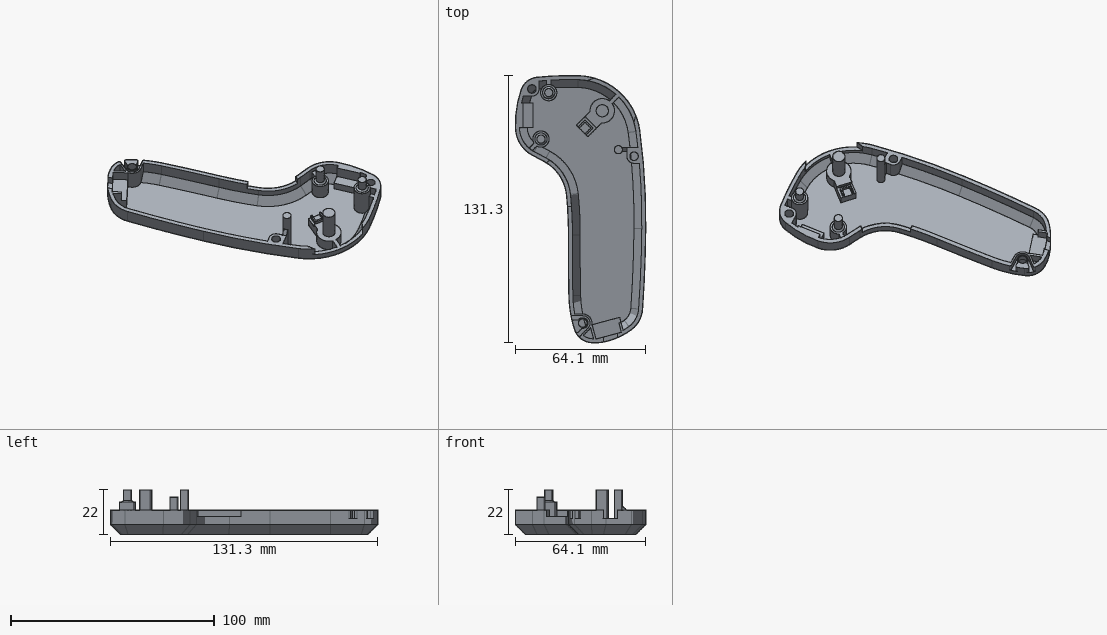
import cadquery as cq
import math

RIM_Z = 12.0
CHAMFER = 5.0
WALL = 2.0
FLOOR_Z = WALL
PIN_TOP_Z = 22.0
SLOPE_TOP_Z = CHAMFER + WALL * (math.sqrt(2) - 1)
REACH = 12.0

OUTLINE_START = (64.09, 56.12)
OUTLINE_START_ANGLE = 89.32
OUTLINE_ARC_ENDS = [
    (61.19, 104.10),
    (30.86, 131.29),
    (10.68, 130.50),
    (2.80, 124.24),
    (0.04, 105.32),
    (8.37, 92.14),
    (14.13, 89.08),
    (25.09, 72.74),
    (26.04, 52.99),
    (26.25, 23.20),
    (29.03, 6.65),
    (37.32, 0.08),
    (44.46, 0.64),
    (56.94, 6.43),
    (62.53, 16.55),
    OUTLINE_START,
]

SCREW_HOLE_D = 4.2
SCREW_BOSS_R = 3.5
TOP_SCREW = (8.15, 124.7)
SIDE_SCREW = (58.3, 91.7)
SIDE_BOSS_TOP_Y = 95.9

PIN_D = 4.0
PIN_BOSS_D = 8.0
COLLAR_D = 6.0
COLLAR_H = 0.7
RIB_T = 2.0
TALL_PIN = (16.4, 122.9)
TALL_PIN_BOSS_Z = 16.0
TALL_PIN_RIB_ANGLE = 90.0
SHORT_PIN = (12.6, 100.1)
SHORT_PIN_BOSS_Z = 10.0
SHORT_PIN_TOP_Z = 18.4
SHORT_PIN_RIB_ANGLE = 225.0
SLIM_PIN = (50.6, 94.9)
GUSSET_Z = 14.0

POST = (42.7, 114.0)
POST_D = 6.0
POST_BASE_D = 12.0
POST_BASE_Z = 8.0
ARM_ANGLE = 225.0
ARM_W = 8.0
ARM_L = 8.0
CLIP_END = 14.0
CLIP_SHELF_Z = 6.5
BRACKET_START = 9.2
BRACKET_W = 5.6
BRACKET_T = 0.8
SWEEP_R = 16.5

GRIP_NOTCH_Z = 9.0
GRIP_NOTCH_CORNERS = [(14.0, 87.0), (18.0, 91.0), (30.0, 85.0), (30.0, 67.1), (20.0, 67.1)]

SIDE_SEAT_Z = 6.0
SIDE_SEAT_X = (3.8, 8.6)
SIDE_SEAT_Y = (105.9, 117.8)
SOCKET_CORNER = (39.6, 1.9)
SOCKET_ANGLE = 15.0
SOCKET_SEAT_Z = 7.0
SOCKET_W = 12.9
SOCKET_D = 7.3
SOCKET_WALL = 1.1
SOCKET_STUB_L = 4.7
SOCKET_POCKET_W = 6.0
SOCKET_POCKET_D = 6.0
SOCKET_NOTCH_X = (43.3, 50.2)
SOCKET_NOTCH_Y = (-1.0, 6.0)
SOCKET_NOTCH_Z = 8.0

CORD_POST = (33.1, 9.75)
CORD_POST_R = 2.6
CORD_GROOVE_R = 3.6
CORD_BOSS_R = 4.5
CORD_SLOT_W = 2.0
CORD_SLOT_Z = 8.0
CORD_SLOT_ANGLES = (180.0, 225.0)
CORD_MOUTH_R = 0.9


def outline(z, inset=0.0):
    """Closed wire at height z, parallel to the outline at a distance inside it."""

    def shifted(point, angle):
        return (point[0] - inset * math.sin(angle), point[1] + inset * math.cos(angle))

    start_angle = math.radians(OUTLINE_START_ANGLE)
    start = shifted(OUTLINE_START, start_angle)
    wire = cq.Workplane("XY").workplane(offset=z).moveTo(*start)
    x, y = OUTLINE_START
    angle = start_angle
    for end in OUTLINE_ARC_ENDS:
        dx = end[0] - x
        dy = end[1] - y
        chord_angle = math.atan2(dy, dx)
        half_turn = math.remainder(chord_angle - angle, math.tau)
        rise = math.tan(half_turn / 2) / 2
        middle = ((x + end[0]) / 2 + dy * rise, (y + end[1]) / 2 - dx * rise)
        angle += 2 * half_turn
        arc_end = start if end == OUTLINE_START else shifted(end, angle)
        wire = wire.threePointArc(shifted(middle, chord_angle), arc_end)
        x, y = end
    return wire.wire()


def tub(top_z, edge_z, bottom_z, inset):
    """Solid with an upright side above edge_z and a 45 degree slope below it."""
    upper = outline(edge_z, inset).extrude(top_z - edge_z)
    depth = edge_z - bottom_z
    edge = outline(edge_z, inset).val()
    foot = outline(bottom_z, inset + depth).val()
    slope = cq.Solid.makeLoft([edge, foot], True)
    return upper.union(cq.Workplane(slope))


def box(x_range, y_range, z_range):
    size = [high - low for low, high in (x_range, y_range, z_range)]
    corner = (x_range[0], y_range[0], z_range[0])
    return cq.Workplane("XY").box(*size, centered=False).translate(corner)


def turned_box(origin, angle, along, across, z_range):
    """Box whose length runs at an angle from an origin in plan."""
    straight = box(along, across, z_range)
    return straight.rotate((0, 0, 0), (0, 0, 1), angle).translate((*origin, 0))


def centered(width):
    return (-width / 2, width / 2)


def cylinder(center, radius, z_range):
    base = cq.Workplane("XY").workplane(offset=z_range[0]).center(*center)
    return base.circle(radius).extrude(z_range[1] - z_range[0])


def rib(center, angle, top_z):
    """Rib from a center out to the wall."""
    return turned_box(center, angle, (0, REACH), centered(RIB_T), (FLOOR_Z, top_z)).intersect(cavity)


def screw_bosses():
    """Two bosses grown out of the wall; their holes stop at the inside of the shell."""
    height = (FLOOR_Z, RIM_Z)
    x, y = TOP_SCREW
    bosses = cylinder(TOP_SCREW, SCREW_BOSS_R, height)
    bosses = bosses.union(box((x - REACH, x), (y - SCREW_BOSS_R, y + REACH), height))
    bosses = bosses.union(box((x - REACH, x + SCREW_BOSS_R), (y, y + REACH), height))
    x, y = SIDE_SCREW
    bosses = bosses.union(cylinder(SIDE_SCREW, SCREW_BOSS_R, height))
    bosses = bosses.union(box((x, x + REACH), (y - SCREW_BOSS_R, SIDE_BOSS_TOP_Y), height))
    bosses = bosses.union(box((x - SCREW_BOSS_R, x), (y, SIDE_BOSS_TOP_Y), height))
    for screw in (TOP_SCREW, SIDE_SCREW):
        bosses = bosses.cut(cylinder(screw, SCREW_HOLE_D / 2, height))
    return bosses.intersect(cavity)


def collared_pin(center, boss_z, top_z, rib_angle):
    """Pin on a round boss, with a conical collar at its foot and a rib to the wall."""
    boss = cylinder(center, PIN_BOSS_D / 2, (FLOOR_Z, boss_z))
    collar = (
        cq.Workplane("XY")
        .workplane(offset=boss_z)
        .center(*center)
        .circle(COLLAR_D / 2)
        .workplane(offset=COLLAR_H)
        .circle(PIN_D / 2)
        .loft()
    )
    pin = cylinder(center, PIN_D / 2, (FLOOR_Z, top_z))
    return boss.union(collar).union(pin).union(rib(center, rib_angle, min(boss_z, RIM_Z)))


def slim_pin():
    """Pin tied to the side screw boss by a rib with a sloping top."""
    x = SLIM_PIN[0]
    boss_x = SIDE_SCREW[0] - SCREW_BOSS_R
    profile = [
        (x, FLOOR_Z),
        (boss_x, FLOOR_Z),
        (boss_x, RIM_Z),
        (x + PIN_D / 2, GUSSET_Z),
        (x, GUSSET_Z),
    ]
    gusset = cq.Workplane("XZ", origin=(0, SIDE_BOSS_TOP_Y, 0)).polyline(profile).close().extrude(RIB_T)
    return cylinder(SLIM_PIN, PIN_D / 2, (FLOOR_Z, PIN_TOP_Z)).union(gusset)


def post_with_clip():
    """Round post on a base with an arm that ends in a small clip."""
    slot_w = BRACKET_W - 2 * BRACKET_T
    raised = (CLIP_SHELF_Z, POST_BASE_Z)
    base_height = (FLOOR_Z, POST_BASE_Z)
    base = cylinder(POST, POST_BASE_D / 2, base_height)
    arm = turned_box(POST, ARM_ANGLE, (0, ARM_L), centered(ARM_W), base_height)
    shelf = turned_box(POST, ARM_ANGLE, (ARM_L, CLIP_END), centered(ARM_W), (FLOOR_Z, CLIP_SHELF_Z))
    bracket = turned_box(POST, ARM_ANGLE, (BRACKET_START, CLIP_END), centered(BRACKET_W), raised)
    slot = turned_box(POST, ARM_ANGLE, (BRACKET_START + BRACKET_T, CLIP_END), centered(slot_w), raised)
    post = cylinder(POST, POST_D / 2, (FLOOR_Z, PIN_TOP_Z))
    back_rib = rib(POST, ARM_ANGLE - 180, POST_BASE_Z)
    return base.union(arm).union(shelf).union(bracket.cut(slot)).union(post).union(back_rib)


def side_seat():
    """Flat seat beside a thickened stretch of the left wall."""
    wall = box((SIDE_SEAT_X[0] - REACH, SIDE_SEAT_X[0]), SIDE_SEAT_Y, (FLOOR_Z, RIM_Z))
    seat = box(SIDE_SEAT_X, SIDE_SEAT_Y, (FLOOR_Z, SIDE_SEAT_Z))
    return wall.union(seat).intersect(cavity)


def socket():
    """Flat seat at the handle's end between a long wall on the left and a short one on the right."""
    outer_right = SOCKET_W + SOCKET_WALL
    seat_height = (FLOOR_Z, SOCKET_SEAT_Z)
    wall_height = (FLOOR_Z, RIM_Z)

    def piece(along, top_across, height):
        return turned_box(SOCKET_CORNER, SOCKET_ANGLE, along, (-REACH, top_across), height)

    body = piece((0, outer_right), SOCKET_D, seat_height)
    body = body.union(piece((-SOCKET_POCKET_W, 0), SOCKET_POCKET_D, seat_height))
    body = body.union(piece((0, outer_right), 0, wall_height))
    body = body.union(piece((-SOCKET_WALL, 0), SOCKET_D, wall_height))
    body = body.union(piece((SOCKET_W, outer_right), SOCKET_STUB_L, wall_height))
    return body.intersect(cavity)


def socket_space():
    """Room above the socket's seat and the notch through the wall in front of it."""
    above_seat = (SOCKET_SEAT_Z, RIM_Z)
    space = turned_box(SOCKET_CORNER, SOCKET_ANGLE, (0, SOCKET_W), (0, SOCKET_D), above_seat)
    return space.union(box(SOCKET_NOTCH_X, SOCKET_NOTCH_Y, (SOCKET_NOTCH_Z, RIM_Z)))


def cord_boss():
    """Boss between the cord post and the wall."""
    height = (FLOOR_Z, RIM_Z)
    boss = cylinder(CORD_POST, CORD_BOSS_R, height)
    for angle in CORD_SLOT_ANGLES:
        boss = boss.union(turned_box(CORD_POST, angle, (0, REACH), centered(2 * CORD_BOSS_R), height))
    hole = cylinder(CORD_POST, SCREW_HOLE_D / 2, height)
    return boss.cut(hole).intersect(cavity)


def cord_groove():
    """Groove that leads a cord in through the wall, around the post and out again."""
    height = (CORD_SLOT_Z, RIM_Z)
    slot_inner = CORD_GROOVE_R - CORD_SLOT_W
    first_angle, last_angle = CORD_SLOT_ANGLES
    ring = cylinder(CORD_POST, CORD_GROOVE_R, height)
    ring = ring.cut(turned_box(CORD_POST, first_angle, (0, REACH), (-slot_inner, CORD_GROOVE_R), height))
    ring = ring.cut(turned_box(CORD_POST, last_angle, (0, REACH), (-CORD_GROOVE_R, slot_inner), height))
    first = turned_box(CORD_POST, first_angle, (0, REACH), (-CORD_GROOVE_R, -slot_inner), height)
    last = turned_box(CORD_POST, last_angle, (0, REACH), (slot_inner, CORD_GROOVE_R), height)
    return ring.union(first).union(last).cut(cylinder(CORD_POST, CORD_POST_R, height))


def round_cord_mouths(part):
    """Round the upright edges where the two cord slots pass through the outer wall."""
    x, y = CORD_POST
    middle_z = (CORD_SLOT_Z + RIM_Z) / 2
    wall_side = cq.selectors.BoxSelector(
        (x - REACH, y - REACH, middle_z - CORD_MOUTH_R),
        (x, y + REACH, middle_z + CORD_MOUTH_R),
    )
    upright = part.edges("|Z").edges(wall_side)
    edges = upright.filter(lambda edge: math.dist(edge.Center().toTuple()[:2], CORD_POST) > CORD_BOSS_R)
    return edges.fillet(CORD_MOUTH_R)


def grip_notch():
    corners = cq.Workplane("XY").workplane(offset=GRIP_NOTCH_Z).polyline(GRIP_NOTCH_CORNERS)
    return corners.close().extrude(RIM_Z - GRIP_NOTCH_Z)


cavity = tub(RIM_Z, SLOPE_TOP_Z, FLOOR_Z, WALL)
result = tub(RIM_Z, CHAMFER, 0, 0).cut(cavity)

result = result.cut(cylinder(POST, SWEEP_R, (POST_BASE_Z, RIM_Z)))
result = result.cut(grip_notch())

for part in (screw_bosses(), side_seat(), socket(), cord_boss()):
    result = result.union(part)
result = result.cut(cord_groove())
result = round_cord_mouths(result)
result = result.cut(socket_space())

result = result.union(collared_pin(TALL_PIN, TALL_PIN_BOSS_Z, PIN_TOP_Z, TALL_PIN_RIB_ANGLE))
result = result.union(collared_pin(SHORT_PIN, SHORT_PIN_BOSS_Z, SHORT_PIN_TOP_Z, SHORT_PIN_RIB_ANGLE))
result = result.union(slim_pin())
result = result.union(post_with_clip())